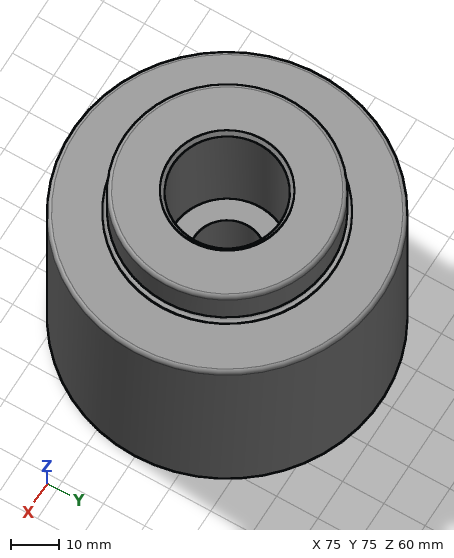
import cadquery as cq

body_diameter = 75.0
total_height = 60.0
boss_height = 10.0
boss_diameter = 50.0
bore_diameter = 26.0
through_hole_diameter = 16.0
edge_size = 1.0

shoulder_z = total_height - boss_height
bore_depth = total_height / 2


def rounded_body():
    """Main cylinder with both rims rounded."""
    body = cq.Workplane("XY").circle(body_diameter / 2).extrude(shoulder_z)
    return body.edges("%CIRCLE").fillet(edge_size)


def rounded_boss():
    """Smaller cylinder on the shoulder with its top rim rounded."""
    boss = cq.Workplane("XY").workplane(offset=shoulder_z).circle(boss_diameter / 2).extrude(boss_height)
    return boss.faces(">Z").edges().fillet(edge_size)


def relief_groove():
    """Round-section ring centred on the corner between boss and shoulder."""
    return cq.Workplane(cq.Solid.makeTorus(
        boss_diameter / 2, edge_size, cq.Vector(0, 0, shoulder_z), cq.Vector(0, 0, 1)))


def stepped_bore():
    """Through hole opening into a wider bore with a chamfered mouth."""
    bore_floor_z = total_height - bore_depth
    hole_radius = through_hole_diameter / 2
    bore_radius = bore_diameter / 2
    mouth_radius = bore_radius + edge_size
    profile = (
        cq.Workplane("XZ")
        .lineTo(hole_radius, 0)
        .lineTo(hole_radius, bore_floor_z)
        .lineTo(bore_radius, bore_floor_z)
        .lineTo(bore_radius, total_height - edge_size)
        .lineTo(mouth_radius, total_height)
        .lineTo(0, total_height)
        .close()
    )
    return profile.revolve(360, (0, 0, 0), (0, 1, 0))


result = rounded_body().union(rounded_boss()).cut(relief_groove()).cut(stepped_bore())